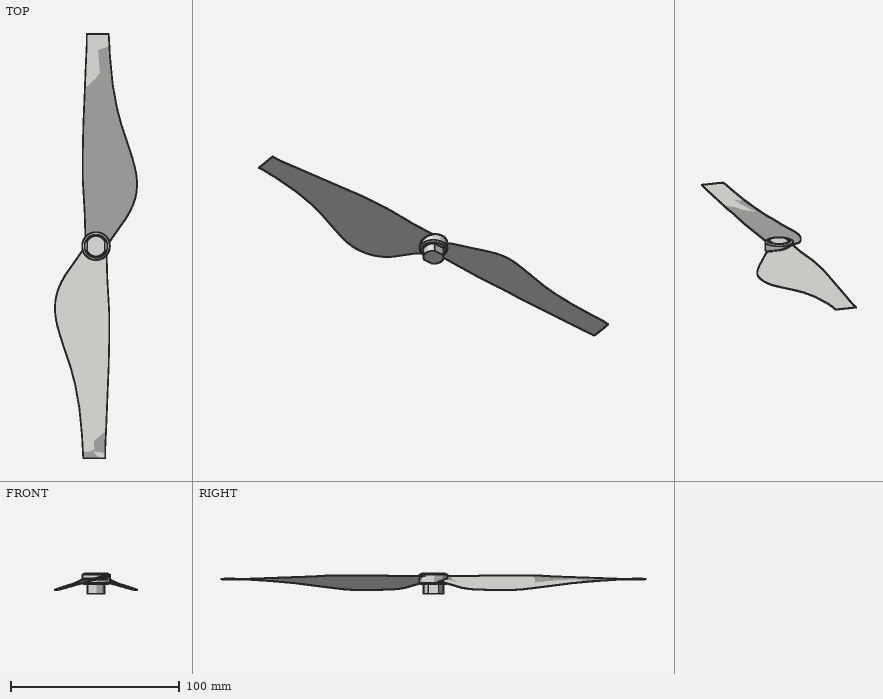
import cadquery as cq

span = 252.2
height = 12.0

hub_diameter = 16.6
hub_top_diameter = 13.5
hub_height = 6.5
hub_top_bevel_height = 0.8
hub_bottom_bevel = 1.0

shaft_diameter = 12.0
shaft_across_flats = 10.3

blade_edge_thickness = 0.3
tip_radius = span / 2

blade_stations = [
    (2.5, (-6.3, 10.5), (3.0, 8.8), (8.0, 7.0)),
    (12.0, (-6.5, 10.8), (7.8, 7.5), (15.0, 5.0)),
    (24.2, (-7.0, 10.8), (13.9, 5.8), (22.0, 2.8)),
    (36.5, (-7.8, 11.0), (16.5, 5.3), (24.5, 2.5)),
    (48.7, (-8.0, 11.0), (15.1, 5.5), (22.7, 2.5)),
    (60.8, (-7.8, 11.0), (11.9, 6.8), (19.0, 3.8)),
    (73.0, (-7.5, 10.3), (7.8, 8.0), (15.0, 5.3)),
    (85.0, (-7.0, 9.8), (4.5, 8.5), (11.9, 6.8)),
    (97.0, (-6.5, 9.5), (2.8, 8.8), (9.8, 7.8)),
    (109.5, (-6.0, 9.0), (1.8, 9.0), (8.5, 8.5)),
    (tip_radius, (-5.5, 8.8), (1.0, 8.8), (7.5, 8.8)),
]


def flatted_bar():
    """Full-height round bar, trimmed to two flats on the X sides."""
    bar = cq.Workplane("XY").circle(shaft_diameter / 2).extrude(height)
    between_flats = cq.Workplane("XY").rect(shaft_across_flats, shaft_diameter).extrude(height)
    return bar.intersect(between_flats)


def make_hub():
    """Revolved boss with a sloping rim at the top and a bevel underneath."""
    radius = hub_diameter / 2
    bottom = height - hub_height
    profile = [
        (0, bottom),
        (radius - hub_bottom_bevel, bottom),
        (radius, bottom + hub_bottom_bevel),
        (radius, height - hub_top_bevel_height),
        (hub_top_diameter / 2, height),
        (0, height),
    ]
    return cq.Workplane("XZ").polyline(profile).close().revolve(360, (0, 0), (0, 1))


def blade_section(radius, upper_points):
    """Closed thin section parallel to XZ: creased on top, flat underneath."""
    trailing, _, leading = upper_points
    lower_points = [(x, z - blade_edge_thickness) for x, z in (leading, trailing)]
    outline = [cq.Vector(x, radius, z) for x, z in [*upper_points, *lower_points]]
    return cq.Wire.makePolygon(outline, close=True)


def make_blade():
    """Smooth loft through the stations from inside the hub to the tip."""
    sections = [blade_section(radius, points) for radius, *points in blade_stations]
    return cq.Workplane(cq.Solid.makeLoft(sections))


def make_propeller():
    """Hub and two opposite blades, with a bore right through that matches the shaft."""
    propeller = make_hub()
    blade = make_blade()
    for angle in (0, 180):
        propeller = propeller.union(blade.rotate((0, 0, 0), (0, 0, 1), angle))
    return propeller.cut(flatted_bar())


propeller = make_propeller()
shaft = flatted_bar()

result = cq.Compound.makeCompound([propeller.val(), shaft.val()])